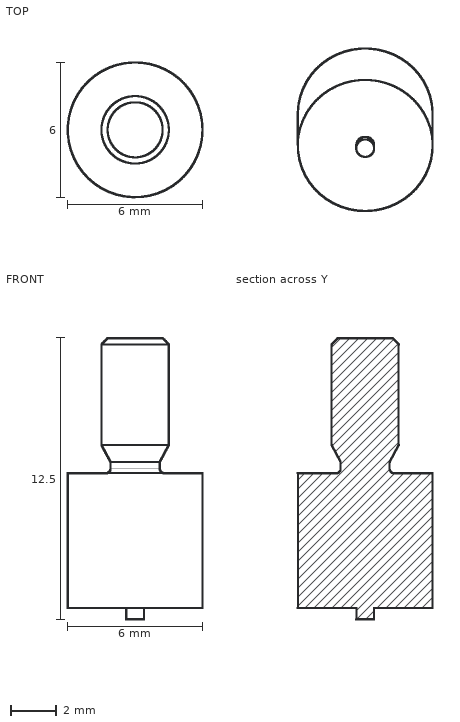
import cadquery as cq

body_diameter = 6
body_height = 6
pin_diameter = 0.8
pin_length = 0.5

stud_diameter = 3
stud_length = 6
tip_chamfer = 0.28

neck_diameter = 2.2
undercut_height = 1.25
neck_taper_height = 0.75
root_fillet = 0.2

body_radius = body_diameter / 2
pin_radius = pin_diameter / 2
stud_radius = stud_diameter / 2
neck_radius = neck_diameter / 2

body_bottom = pin_length
body_top = body_bottom + body_height
undercut_top = body_top + undercut_height
neck_top = undercut_top - neck_taper_height
stud_top = body_top + stud_length

profile = (
    cq.Workplane("XZ")
    .moveTo(0, 0)
    .lineTo(pin_radius, 0)
    .lineTo(pin_radius, body_bottom)
    .lineTo(body_radius, body_bottom)
    .lineTo(body_radius, body_top)
    .lineTo(neck_radius + root_fillet, body_top)
    .radiusArc((neck_radius, body_top + root_fillet), root_fillet)
    .lineTo(neck_radius, neck_top)
    .lineTo(stud_radius, undercut_top)
    .lineTo(stud_radius, stud_top - tip_chamfer)
    .lineTo(stud_radius - tip_chamfer, stud_top)
    .lineTo(0, stud_top)
    .close()
)

result = profile.revolve(360, (0, 0, 0), (0, 1, 0))